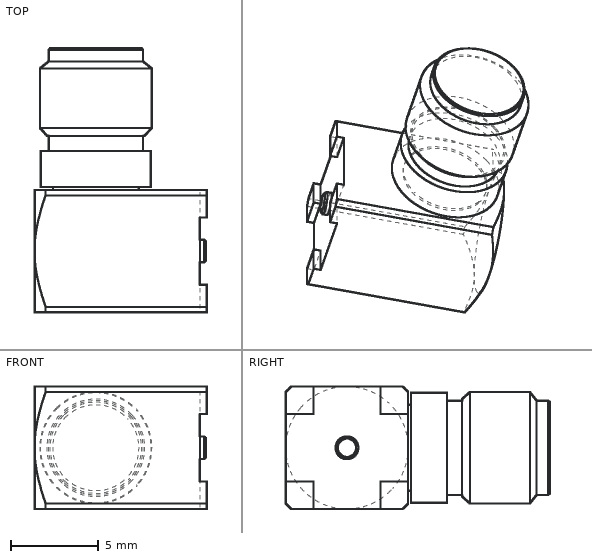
import cadquery as cq
import math

body_length = 9.86
body_width = 7.0
edge_chamfer = 0.32
corner_cone_depth = 0.63

slot_width = 3.84
slot_depth = 0.41
pin_radius = 0.65
pin_setback = 0.05
pin_chamfer = 0.12

overall_length = 15.1
stub_radius = 2.46
collar_radius = 3.15
groove_radius = 2.7
nut_radius = 3.2
stub_length = 0.15
collar_length = 2.07
groove_length = 0.86
rear_cone_length = 0.45
rear_cone_radius = 2.8
nut_length = 3.41
front_cone_length = 0.4
tip_chamfer = 0.09

half_width = body_width / 2
connector_x = half_width


def make_body():
    body = cq.Workplane("XY").box(body_length, body_width, body_width, centered=(False, True, True))
    return body.edges("|X").chamfer(edge_chamfer)


def make_cone_envelope():
    """Solid of revolution about X that trims the corners of the -X end."""
    corner_radius = math.hypot(half_width, half_width - edge_chamfer)
    slope = corner_cone_depth / (corner_radius - half_width)
    outer_radius = body_width
    cone_end_x = slope * (outer_radius - half_width)
    return (
        cq.Workplane("XY")
        .moveTo(0, 0)
        .lineTo(0, half_width)
        .lineTo(cone_end_x, outer_radius)
        .lineTo(body_length, outer_radius)
        .lineTo(body_length, 0)
        .close()
        .revolve(360, (0, 0, 0), (1, 0, 0))
    )


def make_slots():
    """Two crossed slots through the +X end, leaving four corner feet."""
    slot_x = body_length - slot_depth / 2
    slots = cq.Workplane("XY")
    for size_y, size_z in ((slot_width, body_width), (body_width, slot_width)):
        slots = slots.union(cq.Workplane("XY").box(slot_depth, size_y, size_z).translate((slot_x, 0, 0)))
    return slots


def make_pin():
    pin_base_x = body_length - slot_depth
    pin = cq.Workplane("YZ", origin=(pin_base_x, 0, 0)).circle(pin_radius)
    return pin.extrude(slot_depth - pin_setback).faces(">X").chamfer(pin_chamfer)


def make_connector():
    """Turned profile, revolved about a Y-parallel axis."""
    collar_start = half_width + stub_length
    groove_start = collar_start + collar_length
    rear_cone_start = groove_start + groove_length
    nut_start = rear_cone_start + rear_cone_length
    front_cone_start = nut_start + nut_length
    tip_start = front_cone_start + front_cone_length
    tip_end = overall_length - half_width
    profile = [
        (0, half_width),
        (stub_radius, half_width),
        (stub_radius, collar_start),
        (collar_radius, collar_start),
        (collar_radius, groove_start),
        (groove_radius, groove_start),
        (groove_radius, rear_cone_start),
        (rear_cone_radius, rear_cone_start),
        (nut_radius, nut_start),
        (nut_radius, front_cone_start),
        (groove_radius, tip_start),
        (groove_radius, tip_end - tip_chamfer),
        (groove_radius - tip_chamfer, tip_end),
        (0, tip_end),
    ]
    connector = cq.Workplane("XY").polyline(profile).close().revolve(360, (0, 0, 0), (0, 1, 0))
    return connector.translate((connector_x, 0, 0))


body = make_body().intersect(make_cone_envelope()).cut(make_slots())
result = body.union(make_pin()).union(make_connector())